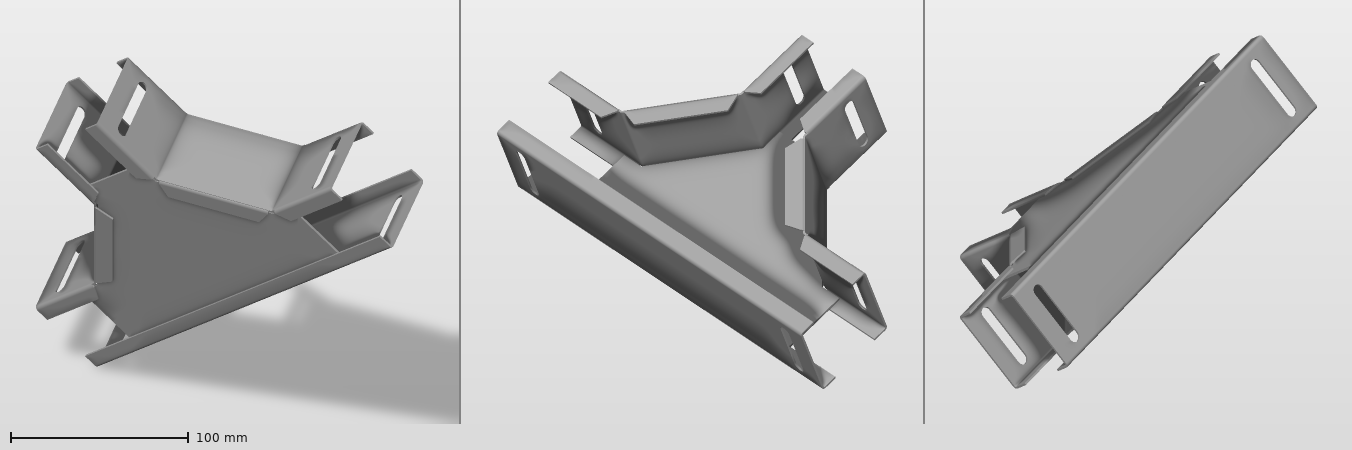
import cadquery as cq
import math


sheet = 1.25
bend_radius = 2.25
tray_width = 53.0
rail_height = 53.0
run_length = 249.0
gusset_leg = 48.5
flange_width = 10.5
diagonal_flange_width = 11.5
taper_angle = 30.0
flange_setback = 1.8
corner_relief = 1.0
slot_length = 40.0
slot_width = 7.25
slot_from_end = 16.25
plate_thickness = 1.5
plate_overhang = 13.0
fold_angle = 45.0

half_width = tray_width / 2
half_run = run_length / 2
web_corner = half_width + gusset_leg
diagonal_length = gusset_leg * math.sqrt(2)
inner_bend_radius = bend_radius - sheet
fold_tangent = math.tan(math.radians(fold_angle / 2))


def channel(length, flange, start_taper=False, end_taper=False):
    """C channel along +x: web outer face on y = 0, flanges towards -y."""
    outer = (
        cq.Workplane("XY")
        .box(length, flange, rail_height, centered=(False, False, True))
        .translate((0, -flange, 0))
        .edges("|X and >Y")
        .fillet(bend_radius)
    )
    hollow = (
        cq.Workplane("XY")
        .box(length, flange, rail_height - 2 * sheet, centered=(False, False, True))
        .translate((0, -flange - sheet, 0))
        .edges("|X and >Y")
        .fillet(inner_bend_radius)
    )
    body = outer.cut(hollow)
    slant_depth = flange - bend_radius
    slant = slant_depth * math.tan(math.radians(taper_angle))
    tapers = []
    if start_taper:
        tapers.append((0, slant))
    if end_taper:
        tapers.append((length, length - slant))
    for end, tip in tapers:
        wedge = (
            cq.Workplane("XY")
            .polyline([(end, -bend_radius), (tip, -flange), (end, -flange)])
            .close()
            .extrude(rail_height, both=True)
        )
        body = body.cut(wedge)
    return body


def place(body, x, y, angle):
    """Turn a channel about its start and move the start to (x, y)."""
    return body.rotate((0, 0, 0), (0, 0, 1), angle).translate((x, y, 0))


def cut_slot(body, from_start):
    """Cut an upright slot through the web of a channel that still lies along x."""
    slot = (
        cq.Workplane("XZ")
        .center(from_start, 0)
        .slot2D(slot_length, slot_width, 90)
        .extrude(bend_radius, both=True)
    )
    return body.cut(slot)


def straight_rail():
    """Rail along the far side of the run, slotted near both ends."""
    rail = channel(run_length, flange_width)
    for from_start in (slot_from_end, run_length - slot_from_end):
        rail = cut_slot(rail, from_start)
    return place(rail, half_run, -half_width, 180)


def corner_web():
    """Web of a corner rail: two straight stretches joined by a diagonal."""
    inset = half_width - sheet
    inner_corner = web_corner - sheet * fold_tangent
    height = rail_height - 2 * corner_relief
    start = web_corner + bend_radius
    web = (
        cq.Workplane("XY")
        .polyline([
            (half_width, start),
            (half_width, web_corner),
            (web_corner, half_width),
            (start, half_width),
            (start, inset),
            (inner_corner, inset),
            (inset, inner_corner),
            (inset, start),
        ])
        .close()
        .extrude(height / 2, both=True)
    )
    for reach, corner, radius in (
        (half_width, web_corner, inner_bend_radius),
        (inset, inner_corner, bend_radius),
    ):
        for x, y in ((reach, corner), (corner, reach)):
            web = web.edges(cq.selectors.NearestToPointSelector((x, y, 0))).fillet(radius)
    return web


def corner_rail():
    """Rail that leads from the run into the branch over a diagonal."""
    leg_length = half_run - web_corner - flange_setback
    middle_length = diagonal_length - 2 * flange_setback
    run_leg = cut_slot(
        channel(leg_length, flange_width, start_taper=True),
        leg_length - slot_from_end,
    )
    branch_leg = cut_slot(
        channel(leg_length, flange_width, end_taper=True),
        slot_from_end,
    )
    diagonal = channel(middle_length, diagonal_flange_width, start_taper=True, end_taper=True)
    diagonal_step = flange_setback / math.sqrt(2)
    return (
        corner_web()
        .union(place(run_leg, web_corner + flange_setback, half_width, 0))
        .union(place(branch_leg, half_width, half_run, -2 * fold_angle))
        .union(place(diagonal, half_width + diagonal_step, web_corner - diagonal_step, -fold_angle))
    )


def base_plate():
    """Plate resting on the inner faces of the +z flanges, clear of the folds."""
    edge = half_width - bend_radius
    corner = web_corner - bend_radius * fold_tangent
    reach = web_corner + plate_overhang
    right_side = [(reach, -edge), (reach, edge), (corner, edge), (edge, corner), (edge, reach)]
    left_side = [(-x, y) for x, y in reversed(right_side)]
    return (
        cq.Workplane("XY")
        .workplane(offset=rail_height / 2 - sheet - plate_thickness)
        .polyline(right_side + left_side)
        .close()
        .extrude(plate_thickness)
    )


tilt = cq.Location(cq.Plane(origin=(0, 0, 0), xDir=(1, 0, 1), normal=(0, -1, 0)))
right_rail = corner_rail()
left_rail = right_rail.mirror("YZ")
bodies = [straight_rail(), right_rail, left_rail, base_plate()]
result = cq.Compound.makeCompound([body.val().moved(tilt) for body in bodies])